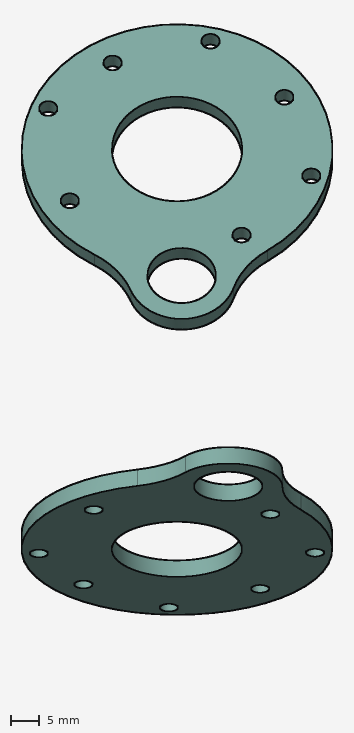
import cadquery as cq
import math

overall_length = 62.5
thickness = 3.2
disc_radius = 27.25
ear_radius = 9.5
ear_x = overall_length - disc_radius - ear_radius
ear_y = -10.05
blend_radius = 15.8

bore_diameter = 22.8
ear_hole_diameter = 12.0
bolt_diameter = 3.2
inner_bolt_circle_radius = 21.95
inner_bolt_start_angle = 8
inner_bolt_count = 4
inner_bolt_angles = [
    inner_bolt_start_angle + 360 / inner_bolt_count * i for i in range(inner_bolt_count)
]
outer_bolt_circle_radius = 24.25
outer_bolt_angles = [53, 143, 225.6]


def polar(radius, angle, center=(0, 0)):
    """Point at a radius and an angle in radians about a center."""
    return (center[0] + radius * math.cos(angle), center[1] + radius * math.sin(angle))


def make_plate():
    ear_center = (ear_x, ear_y)
    ear_distance = math.hypot(ear_x, ear_y)
    ear_angle = math.atan2(ear_y, ear_x)
    disc_side = disc_radius + blend_radius
    ear_side = ear_radius + blend_radius
    disc_spread = math.acos(
        (disc_side**2 + ear_distance**2 - ear_side**2) / (2 * disc_side * ear_distance)
    )
    ear_spread = math.pi - math.acos(
        (ear_side**2 + ear_distance**2 - disc_side**2) / (2 * ear_side * ear_distance)
    )

    def blend_points(side):
        """Disc tangent point, blend midpoint and ear tangent point; side is 1 or -1."""
        disc_angle = ear_angle + side * disc_spread
        tangent_angle = ear_angle + side * ear_spread
        blend_center = polar(disc_side, disc_angle)
        mid_angle = math.pi + (disc_angle + tangent_angle) / 2
        return (
            polar(disc_radius, disc_angle),
            polar(blend_radius, mid_angle, blend_center),
            polar(ear_radius, tangent_angle, ear_center),
        )

    upper_disc, upper_mid, upper_ear = blend_points(1)
    lower_disc, lower_mid, lower_ear = blend_points(-1)
    return (
        cq.Workplane("XY")
        .moveTo(*upper_disc)
        .threePointArc(polar(disc_radius, ear_angle + math.pi), lower_disc)
        .threePointArc(lower_mid, lower_ear)
        .threePointArc(polar(ear_radius, ear_angle, ear_center), upper_ear)
        .threePointArc(upper_mid, upper_disc)
        .close()
        .extrude(thickness)
    )


def through_holes(diameter, centers):
    return cq.Workplane("XY").pushPoints(centers).circle(diameter / 2).extrude(thickness)


bolt_centers = [polar(inner_bolt_circle_radius, math.radians(a)) for a in inner_bolt_angles]
bolt_centers += [polar(outer_bolt_circle_radius, math.radians(a)) for a in outer_bolt_angles]

result = (
    make_plate()
    .cut(through_holes(bore_diameter, [(0, 0)]))
    .cut(through_holes(ear_hole_diameter, [(ear_x, ear_y)]))
    .cut(through_holes(bolt_diameter, bolt_centers))
)